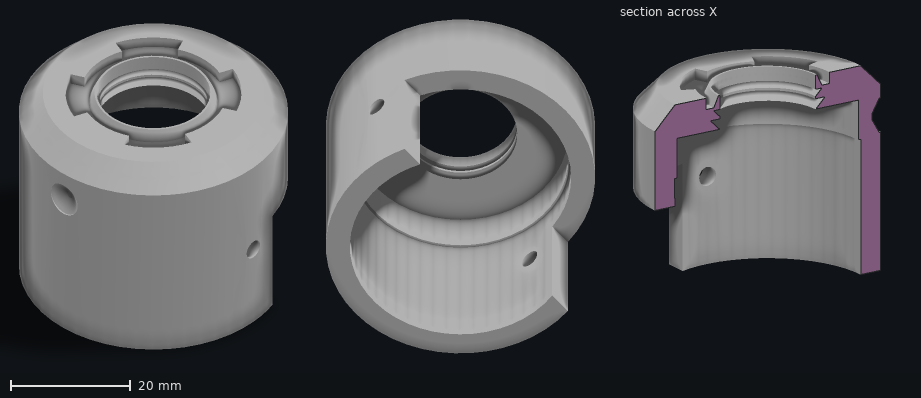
import cadquery as cq
import math

body_diameter = 45.0
body_height = 37.0
top_chamfer = 4.0

bore_radius = 9.5
grooves = [(2.55, 3.8), (4.25, 6.08)]

cavity_top_z = body_height - grooves[-1][1]
upper_cavity_radius = 18.0
lower_cavity_radius = 18.5
lower_cavity_top_z = 23.9

recess_depth = 2.0
recess_radius = 12.25
lobe_radius = 14.7
lobe_count = 4
lobe_angle = 45.0
ring_base_radius = 10.8
ring_top_radius = 9.85

step_y = 5.5
step_height = 19.0

cross_hole_diameter = 3.35
cross_hole_z = 15.5

dimple_radius = 3.0
dimple_tip_radius = 0.6
dimple_rim_depth = 0.25
dimple_cone_angle = 120.0
dimple_z = 27.5

body_radius = body_diameter / 2


def make_body():
    blank = cq.Workplane("XY").circle(body_radius).extrude(body_height)
    return blank.faces(">Z").edges().chamfer(top_chamfer)


def revolve_profile(points, angle=360):
    """Turn a closed (radius, height) outline about the Z axis, starting from +X."""
    return cq.Workplane("XZ").polyline(points).close().revolve(angle, (0, 0), (0, 1))


def make_bore():
    profile = [(0, body_height), (bore_radius, body_height)]
    for upper_depth, lower_depth in grooves:
        root_radius = bore_radius + (lower_depth - upper_depth)
        profile += [
            (bore_radius, body_height - upper_depth),
            (root_radius, body_height - upper_depth),
            (bore_radius, body_height - lower_depth),
        ]
    profile += [
        (upper_cavity_radius, cavity_top_z),
        (upper_cavity_radius, lower_cavity_top_z),
        (lower_cavity_radius, lower_cavity_top_z),
        (lower_cavity_radius, 0),
        (0, 0),
    ]
    return revolve_profile(profile)


def make_lobe(center_angle):
    """Sector of the recess reaching from the axis out to the lobe radius."""
    floor_z = body_height - recess_depth
    profile = [
        (0, floor_z),
        (lobe_radius, floor_z),
        (lobe_radius, body_height),
        (0, body_height),
    ]
    sector = revolve_profile(profile, lobe_angle)
    return sector.rotate((0, 0, 0), (0, 0, 1), center_angle - lobe_angle / 2)


def make_recess():
    floor_z = body_height - recess_depth
    recess = cq.Workplane("XY").workplane(offset=floor_z).circle(recess_radius).extrude(recess_depth)
    lobe_pitch = 360 / lobe_count
    for index in range(lobe_count):
        recess = recess.union(make_lobe((index + 0.5) * lobe_pitch))
    ring_profile = [
        (0, floor_z),
        (ring_base_radius, floor_z),
        (ring_top_radius, body_height),
        (0, body_height),
    ]
    return recess.cut(revolve_profile(ring_profile))


def make_step():
    step_depth = body_radius - step_y
    plane = cq.Workplane("XY", origin=(0, step_y, 0))
    return plane.box(body_diameter, step_depth, step_height, centered=(True, False, False))


def make_cross_hole():
    plane = cq.Workplane("YZ", origin=(0, 0, cross_hole_z))
    return plane.circle(cross_hole_diameter / 2).extrude(body_radius, both=True)


def make_dimple():
    """Short cylindrical rim leading into a cone with a flat tip."""
    cone_depth = (dimple_radius - dimple_tip_radius) / math.tan(math.radians(dimple_cone_angle / 2))
    profile = [
        (0, 0),
        (dimple_radius, 0),
        (dimple_radius, dimple_rim_depth),
        (dimple_tip_radius, dimple_rim_depth + cone_depth),
        (0, dimple_rim_depth + cone_depth),
    ]
    upright = revolve_profile(profile)
    return upright.rotate((0, 0, 0), (1, 0, 0), -90).translate((0, -body_radius, dimple_z))


result = (
    make_body()
    .cut(make_recess())
    .cut(make_bore())
    .cut(make_step())
    .cut(make_cross_hole())
    .cut(make_dimple())
)